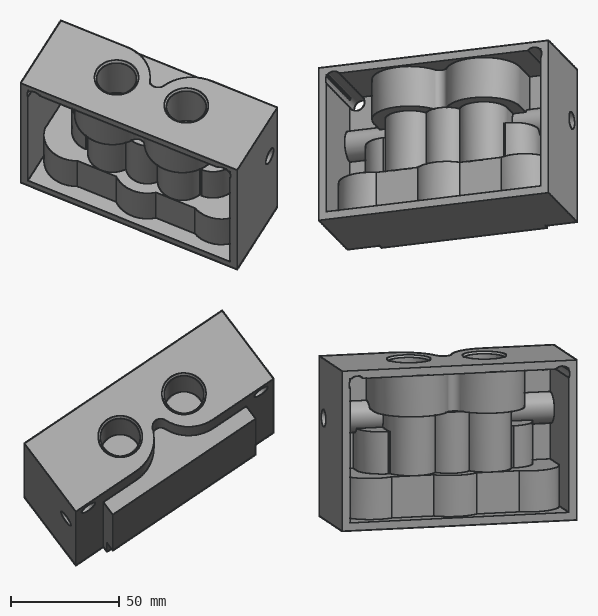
import cadquery as cq
import math

length = 112.0
height = 75.0
body_depth = 41.0
wall = 3.8
back_wall = 7.8
cavity_back = body_depth - back_wall
cavity_top = height - wall

total_depth = 48.5
pad_width = 80.9
pad_top = 62.6
pad_step_height = 12.4
pad_step_depth = 43.9

row_y = 18.8
base_top = 23.1
side_boss_top = 42.8
port_x = 18.0
port_boss_bottom = 51.7
port_boss_radius = 17.5
port_boss_blend = 3.5
duct_radius = 11.4
middle_duct_radius = 10.0

base_lobe_radius = 15.0
base_lobe_x = 37.5
base_lobe_y = 20.5
base_middle_radius = 15.5
base_web_front = 7.3

side_boss_radius = 12.0
side_boss_x = 29.8
side_boss_y = 27.0
side_web_front = 15.3

gallery_y = cavity_back
gallery_z = 47.3
gallery_radius = 7.4
drilling_diameter = 8.0

port_y = 23.0
port_diameter = 18.4
port_mouth_diameter = 20.4
port_chamfer = (port_mouth_diameter - port_diameter) / 2

relief_arc_radius = 19.6
relief_arc_x = 21.8
relief_root_radius = 3.8

fixing_x = 48.8
fixing_z = 68.7
fixing_diameter = 7.6


def block(x_half, y_range, z_range):
    """Box centred on X, spanning the given Y and Z ranges."""
    y0, y1 = y_range
    z0, z1 = z_range
    solid = cq.Workplane("XY").box(2 * x_half, y1 - y0, z1 - z0, centered=(True, False, False))
    return solid.translate((0, y0, z0))


def cylinder(plane, origin, diameter, depth):
    """Round bar along the normal of the plane, starting at the origin."""
    return cq.Workplane(plane, origin=origin).circle(diameter / 2).extrude(depth)


def post(x, y, radius, z_range):
    """Upright post with a round front, reaching straight back into the back wall."""
    z0, z1 = z_range
    rear = cavity_back + back_wall / 2
    front = cylinder("XY", (x, y, z0), 2 * radius, z1 - z0)
    tail = block(radius, (y, rear), z_range).translate((x, 0, 0))
    return front.intersect(block(length, (0, rear), z_range)).union(tail)


def valley(x, y, radius, root_radius, direction):
    """Root arc tangent to two circles at (-x, y) and (x, y), on their +Y or -Y side.

    Returns the tangent point on the +X circle and the Y of the middle of the arc.
    """
    reach = radius + root_radius
    root_y = y + direction * math.sqrt(reach**2 - x**2)
    share = root_radius / reach
    return x * share, root_y + (y - root_y) * share, root_y - direction * root_radius


def make_shell():
    outer = block(length / 2, (0, body_depth), (0, height))
    cavity = block(length / 2 - wall, (0, cavity_back), (wall, cavity_top))
    pad = block(pad_width / 2, (cavity_back, total_depth), (pad_step_height, pad_top))
    step = block(pad_width / 2, (cavity_back, pad_step_depth), (0, pad_step_height))
    return outer.cut(cavity).union(pad).union(step)


def make_base():
    z_range = (wall, base_top)
    base = block(base_lobe_x, (base_web_front, cavity_back), z_range)
    base = base.union(post(0, row_y, base_middle_radius, z_range))
    for side in (-1, 1):
        base = base.union(post(side * base_lobe_x, base_lobe_y, base_lobe_radius, z_range))
    return base


def make_side_bosses():
    z_range = (base_top, side_boss_top)
    bosses = block(side_boss_x, (side_web_front, cavity_back), z_range)
    middle = block(side_boss_x, (0, cavity_back), z_range)
    for side in (-1, 1):
        outer_half = post(side * side_boss_x, side_boss_y, side_boss_radius, z_range).cut(middle)
        bosses = bosses.union(outer_half)
    return bosses


def make_ducts():
    z_range = (base_top, port_boss_bottom)
    ducts = post(0, row_y, middle_duct_radius, z_range)
    for side in (-1, 1):
        ducts = ducts.union(post(side * port_x, row_y, duct_radius, z_range))
    return ducts


def make_port_bosses():
    z_range = (port_boss_bottom, cavity_top)
    bosses = post(-port_x, row_y, port_boss_radius, z_range)
    bosses = bosses.union(post(port_x, row_y, port_boss_radius, z_range))
    bosses = bosses.union(block(port_x, (row_y, cavity_back), z_range))
    tangent_x, tangent_y, valley_y = valley(port_x, row_y, port_boss_radius, port_boss_blend, -1)
    blend = (
        cq.Workplane("XY", origin=(0, 0, port_boss_bottom))
        .moveTo(-port_x, row_y)
        .lineTo(-tangent_x, tangent_y)
        .threePointArc((0, valley_y), (tangent_x, tangent_y))
        .lineTo(port_x, row_y)
        .close()
        .extrude(cavity_top - port_boss_bottom)
    )
    return bosses.union(blend)


def make_gallery():
    half_length = length / 2 - wall
    return cylinder("YZ", (-half_length, gallery_y, gallery_z), 2 * gallery_radius, 2 * half_length)


def make_relief():
    arc_y = body_depth - relief_arc_radius
    tangent_x, tangent_y, valley_y = valley(relief_arc_x, arc_y, relief_arc_radius, relief_root_radius, 1)
    outline = (
        cq.Workplane("XY", origin=(0, 0, pad_top))
        .moveTo(-relief_arc_x, body_depth)
        .radiusArc((-tangent_x, tangent_y), relief_arc_radius)
        .threePointArc((0, valley_y), (tangent_x, tangent_y))
        .radiusArc((relief_arc_x, body_depth), relief_arc_radius)
        .close()
    )
    return outline.extrude(height - pad_top)


def make_port(side):
    """Blind port as deep as its boss, with a 45 degree chamfered mouth."""
    bore = cylinder("XY", (side * port_x, port_y, height), port_diameter, port_boss_bottom - height)
    mouth = (
        cq.Workplane("XY", origin=(side * port_x, port_y, height))
        .circle(port_mouth_diameter / 2)
        .workplane(offset=-port_chamfer)
        .circle(port_diameter / 2)
        .loft()
    )
    return bore.union(mouth)


def make_drilling(side):
    """Blind hole along the gallery, from the end face to the port position."""
    start = (side * length / 2, gallery_y, gallery_z)
    return cylinder("YZ", start, drilling_diameter, side * (port_x - length / 2))


def make_fixing(side):
    """Through hole from front to back in an upper corner."""
    return cylinder("XZ", (side * fixing_x, 0, fixing_z), fixing_diameter, -body_depth)


result = make_shell()
for feature in (make_base(), make_side_bosses(), make_ducts(), make_port_bosses(), make_gallery()):
    result = result.union(feature)

result = result.cut(make_relief())
for side in (-1, 1):
    result = result.cut(make_port(side)).cut(make_drilling(side)).cut(make_fixing(side))
result = result.solids()